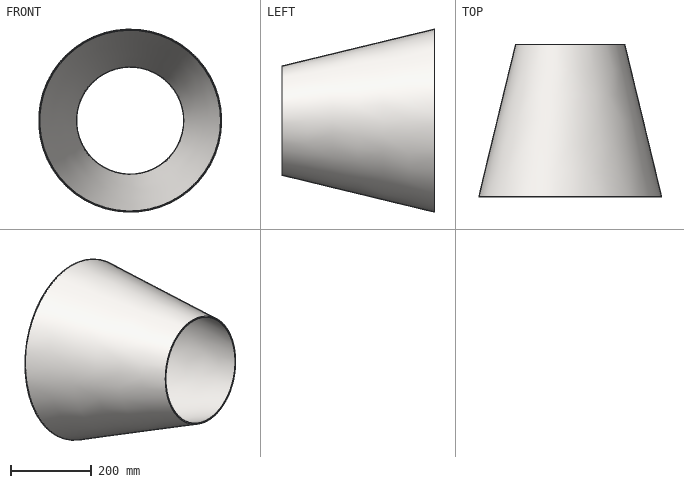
import cadquery as cq

length = 381.0
large_outer_diameter = 457.0
small_outer_diameter = 273.0
wall = 3.0

large_outer_radius = large_outer_diameter / 2
small_outer_radius = small_outer_diameter / 2

wall_section = (
    cq.Workplane("XY")
    .moveTo(large_outer_radius - wall, 0)
    .lineTo(large_outer_radius, 0)
    .lineTo(small_outer_radius, length)
    .lineTo(small_outer_radius - wall, length)
    .close()
)

result = wall_section.revolve(axisStart=(0, 0, 0), axisEnd=(0, 1, 0))